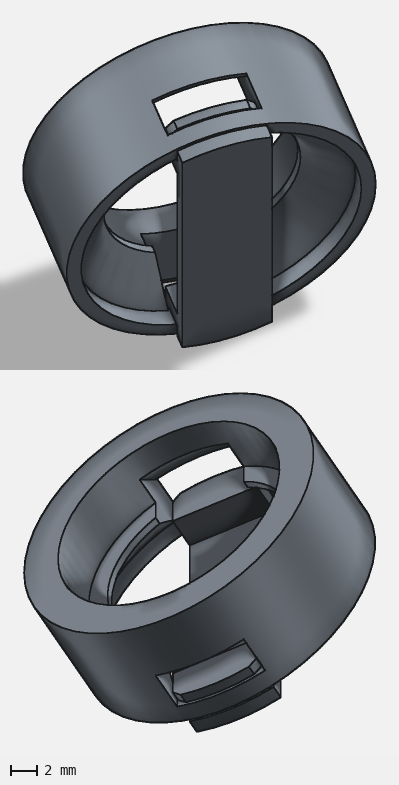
import cadquery as cq

OUTER_RADIUS = 12.55
BORE_RADIUS = 19.2 / 2
SEAT_RADIUS = 22.75 / 2
CLEARANCE = 0.18
CLIP_WIDTH = 7.28

RING_LENGTH = 10.05
LIP_RADIUS = 15.96 / 2
LIP_START = 5.02
LIP_LENGTH = 0.65
LIP_CONE_SLOPE = 0.88
WINDOW_WIDTH = CLIP_WIDTH + 2 * CLEARANCE
WINDOW_START = 5.02
WINDOW_CONE_RADIUS = 12.2
WINDOW_END = 8.5

TOTAL_LENGTH = 11.4
BAR_START = RING_LENGTH + CLEARANCE
LEG_INNER_HEIGHT = 9.14
HOOK_RADIUS = 12.47
HOOK_START = 7.48
HOOK_END = WINDOW_END - CLEARANCE
HOOK_CHAMFER = 0.68


def disc(radius, start, end):
    """Solid cylinder along X between two stations."""
    return cq.Workplane("YZ").workplane(offset=start).circle(radius).extrude(end - start)


def slab(width, start, end):
    """Block of the given Y width, taller than the ring, between two X stations."""
    return cq.Workplane("XY").box(
        end - start, width, 3 * OUTER_RADIUS, centered=(False, True, True)
    ).translate((start, 0, 0))


def make_ring_blank():
    """Revolve the ring section: bore, lip, cone and rear counterbore."""
    lip_end = LIP_START + LIP_LENGTH
    cone_end = lip_end + LIP_CONE_SLOPE * (SEAT_RADIUS - LIP_RADIUS)
    section = [
        (0, BORE_RADIUS),
        (LIP_START, BORE_RADIUS),
        (LIP_START, LIP_RADIUS),
        (lip_end, LIP_RADIUS),
        (cone_end, SEAT_RADIUS),
        (RING_LENGTH, SEAT_RADIUS),
        (RING_LENGTH, OUTER_RADIUS),
        (0, OUTER_RADIUS),
    ]
    return cq.Workplane("XY").polyline(section).close().revolve(360, (0, 0), (1, 0))


def make_window_cutter():
    """Opposed windows, conical inside their flat front edge, and the leg notches behind them."""
    cone_tip = WINDOW_START - WINDOW_CONE_RADIUS
    overshoot = 0.25
    outer_limit = OUTER_RADIUS + overshoot
    section = [
        (cone_tip, 0),
        (WINDOW_START, WINDOW_CONE_RADIUS),
        (WINDOW_START, outer_limit),
        (WINDOW_END, outer_limit),
        (WINDOW_END, SEAT_RADIUS),
        (RING_LENGTH, SEAT_RADIUS),
        (RING_LENGTH, 0),
    ]
    swept = cq.Workplane("XY").polyline(section).close().revolve(360, (0, 0), (1, 0))
    return swept.intersect(slab(WINDOW_WIDTH, cone_tip, RING_LENGTH))


def make_ring():
    return make_ring_blank().cut(make_window_cutter())


def make_hooks():
    """Hook plate with a crowned top and bottom and chamfered corners."""
    crown = disc(HOOK_RADIUS, HOOK_START, HOOK_END)
    plate = crown.intersect(slab(CLIP_WIDTH, HOOK_START, HOOK_END))
    half_width = CLIP_WIDTH / 2
    shoulder = half_width - HOOK_CHAMFER
    crown_height = (HOOK_RADIUS**2 - shoulder**2) ** 0.5
    corner_height = crown_height - HOOK_CHAMFER
    peak_height = crown_height + shoulder
    outline = [
        (-half_width, -corner_height),
        (0, -peak_height),
        (half_width, -corner_height),
        (half_width, corner_height),
        (0, peak_height),
        (-half_width, corner_height),
    ]
    limit = (
        cq.Workplane("YZ").workplane(offset=HOOK_START)
        .polyline(outline).close().extrude(HOOK_END - HOOK_START)
    )
    return plate.intersect(limit)


def make_clip():
    """Crossbar with two legs that end in outward hooks."""
    bar = disc(OUTER_RADIUS, BAR_START, TOTAL_LENGTH).intersect(
        slab(CLIP_WIDTH, BAR_START, TOTAL_LENGTH)
    )
    legs = disc(SEAT_RADIUS, HOOK_START, BAR_START).intersect(
        slab(CLIP_WIDTH, HOOK_START, BAR_START)
    )
    opening = cq.Workplane("XY").box(
        BAR_START - HOOK_START, CLIP_WIDTH, 2 * LEG_INNER_HEIGHT, centered=(False, True, True)
    ).translate((HOOK_START, 0, 0))
    return bar.union(legs).union(make_hooks()).cut(opening)


ring = make_ring()
clip = make_clip()
result = cq.Compound.makeCompound([ring.solids().val(), clip.solids().val()])